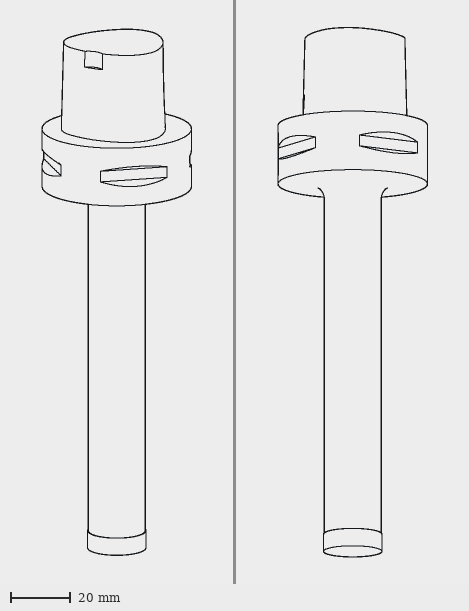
import cadquery as cq
import math

total_height = 175.0
taper_height = 30.0
flange_height = 20.0
tip_height = 6.0
flange_top = total_height - taper_height
flange_bottom = flange_top - flange_height

flange_diameter = 50.0
shank_diameter = 19.0
tip_diameter = 19.6
neck_fillet = 5.0

lobe_reach = 18.5
flank_reach = 16.3
lobe_radius = 11.9
lobe_count = 3
taper_angle = math.degrees(math.atan(1 / 40))

notch_radius = 4.9
notch_depth = 5.5
notch_floor = 14.0

groove_count = 4
groove_first_angle = 45.0
groove_floor = 22.2
groove_floor_width = 3.7
groove_wall_angle = 30.0


def polar(radius, degrees):
    angle = math.radians(degrees)
    return (radius * math.cos(angle), radius * math.sin(angle))


def lobed_outline():
    """Three lobes and three flatter flanks, joined as tangent arcs."""
    pitch = 360 / lobe_count
    lobe_center = lobe_reach - lobe_radius
    reach_gap = flank_reach - lobe_radius
    flank_offset = (reach_gap**2 - lobe_center**2) / (lobe_center - 2 * reach_gap)
    flank_radius = flank_reach + flank_offset

    half_pitch = math.radians(pitch / 2)
    across_center = lobe_center * math.sin(half_pitch)
    along_center = lobe_center * math.cos(half_pitch) + flank_offset
    joint_angle = math.atan2(across_center, along_center)
    joint_across = flank_radius * math.sin(joint_angle)
    joint_along = flank_radius * math.cos(joint_angle) - flank_offset
    joint_reach = math.hypot(joint_across, joint_along)
    joint_turn = math.degrees(math.atan2(joint_across, joint_along))

    first_flank = -90.0
    outline = cq.Workplane("XY").workplane(offset=flange_top)
    outline = outline.moveTo(*polar(joint_reach, first_flank - joint_turn))
    for i in range(lobe_count):
        flank = first_flank + i * pitch
        lobe = flank + pitch / 2
        next_flank = flank + pitch
        outline = outline.threePointArc(
            polar(flank_reach, flank), polar(joint_reach, flank + joint_turn)
        )
        outline = outline.threePointArc(
            polar(lobe_reach, lobe), polar(joint_reach, next_flank - joint_turn)
        )
    return outline.close()


def make_notch_cutter():
    return (
        cq.Workplane("XY")
        .workplane(offset=total_height - notch_depth)
        .center(0, -(notch_floor + notch_radius))
        .circle(notch_radius)
        .extrude(notch_depth)
    )


def make_groove_cutter(angle):
    """Straight groove with a flat floor and walls that flare outwards."""
    middle = (flange_top + flange_bottom) / 2
    outer = flange_diameter / 2
    half_floor = groove_floor_width / 2
    flare = (outer - groove_floor) * math.tan(math.radians(groove_wall_angle))
    half_mouth = half_floor + flare
    return (
        cq.Workplane("XZ")
        .moveTo(groove_floor, middle - half_floor)
        .lineTo(outer, middle - half_mouth)
        .lineTo(outer, middle + half_mouth)
        .lineTo(groove_floor, middle + half_floor)
        .close()
        .extrude(outer, both=True)
        .rotate((0, 0, 0), (0, 0, 1), angle)
    )


def make_holder():
    """Lobed taper, grooved flange and long shank in one piece."""
    shank_radius = shank_diameter / 2
    flange_radius = flange_diameter / 2
    body = (
        cq.Workplane("XZ")
        .moveTo(0, tip_height)
        .lineTo(shank_radius, tip_height)
        .lineTo(shank_radius, flange_bottom - neck_fillet)
        .radiusArc((shank_radius + neck_fillet, flange_bottom), neck_fillet)
        .lineTo(flange_radius, flange_bottom)
        .lineTo(flange_radius, flange_top)
        .lineTo(0, flange_top)
        .close()
        .revolve(360, (0, 0, 0), (0, 1, 0))
    )
    for i in range(groove_count):
        angle = groove_first_angle + i * 360 / groove_count
        body = body.cut(make_groove_cutter(angle))
    taper = lobed_outline().extrude(taper_height, taper=taper_angle)
    return body.union(taper.cut(make_notch_cutter()))


def make_tip():
    return cq.Workplane("XY").circle(tip_diameter / 2).extrude(tip_height)


holder = make_holder()
tip = make_tip()
result = cq.Compound.makeCompound([holder.solids().val(), tip.val()])